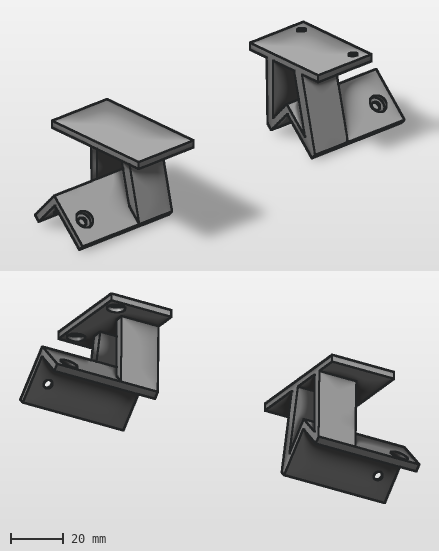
import cadquery as cq
import math

OVERALL_LENGTH = 158.0
FOOT_LENGTH = 44.0
LEG_LENGTH = 16.1
FRONT_PLATE_LENGTH = 27.0
REAR_PLATE_LENGTH = 26.2

FRONT_PLATE_WIDTH = 52.1
REAR_PLATE_WIDTH = 41.1
PLATE_THICKNESS = 3.0
PLATE_LEFT_BOTTOM = 31.3
PLATE_RIGHT_TOP = 38.5
PLATE_SLOPE = (PLATE_RIGHT_TOP - PLATE_LEFT_BOTTOM - PLATE_THICKNESS) / FRONT_PLATE_WIDTH
PLATE_TILT = math.atan(PLATE_SLOPE)

WALL = 3.0
APEX_X = 22.1
LEFT_ARM_LENGTH = 17.7
RIGHT_ARM_LENGTH = 22.6
LEFT_ARM_TILT = math.radians(49)
RIGHT_ARM_TILT = math.pi / 2 - LEFT_ARM_TILT
LEFT_DIR = (-math.cos(LEFT_ARM_TILT), -math.sin(LEFT_ARM_TILT))
RIGHT_DIR = (math.cos(RIGHT_ARM_TILT), -math.sin(RIGHT_ARM_TILT))
APEX_Z = -RIGHT_ARM_LENGTH * RIGHT_DIR[1] - WALL * LEFT_DIR[1]

LEFT_LEG_OUTER_TOP_X = 10.0
LEFT_LEG_INNER_X = 13.9
RIGHT_LEG_INNER_TOP_X = 26.5
RIGHT_LEG_OUTER_TOP_X = 31.3
RIGHT_LEG_INNER_REACH = 14.5

HOLE_DIAMETER = 3.5
COUNTERBORE_DIAMETER = 7.0
COUNTERBORE_DEPTH = 2.0
FOOT_HOLE_REACH = 13.0
FOOT_HOLE_INSET = 7.0
PLATE_HOLE_SIDE_INSET = 5.0
PLATE_HOLE_END_INSET = 5.0


def foot_point(along_left, along_right):
    """Point at the given distances from the apex along the two arm directions."""
    return (
        APEX_X + along_left * LEFT_DIR[0] + along_right * RIGHT_DIR[0],
        APEX_Z + along_left * LEFT_DIR[1] + along_right * RIGHT_DIR[1],
    )


def plate_bottom(x):
    """Point on the underside of the plate."""
    return (x, PLATE_LEFT_BOTTOM + PLATE_SLOPE * x)


def plate_top(x):
    """Point on the upper side of the plate."""
    return (x, plate_bottom(x)[1] + PLATE_THICKNESS)


def prism(points, length):
    """Extrude an XZ outline from Y = 0 toward -Y."""
    return cq.Workplane("XZ").polyline(points).close().extrude(length)


def make_foot():
    return prism(
        [
            foot_point(0, 0),
            foot_point(0, RIGHT_ARM_LENGTH),
            foot_point(WALL, RIGHT_ARM_LENGTH),
            foot_point(WALL, WALL),
            foot_point(LEFT_ARM_LENGTH, WALL),
            foot_point(LEFT_ARM_LENGTH, 0),
        ],
        FOOT_LENGTH,
    )


def make_plate(width, length):
    return prism([plate_bottom(0), plate_bottom(width), plate_top(width), plate_top(0)], length)


def make_left_leg():
    inner_reach = (APEX_X - LEFT_LEG_INNER_X) / math.cos(LEFT_ARM_TILT)
    return prism(
        [
            plate_bottom(LEFT_LEG_OUTER_TOP_X),
            plate_bottom(LEFT_LEG_INNER_X),
            foot_point(inner_reach, 0),
            foot_point(LEFT_ARM_LENGTH, 0),
        ],
        LEG_LENGTH,
    )


def make_right_leg():
    return prism(
        [
            plate_bottom(RIGHT_LEG_INNER_TOP_X),
            plate_bottom(RIGHT_LEG_OUTER_TOP_X),
            foot_point(0, RIGHT_ARM_LENGTH),
            foot_point(0, RIGHT_LEG_INNER_REACH),
        ],
        LEG_LENGTH,
    )


def cylinder_into(point, y, direction, diameter, depth):
    """Cylinder that starts at an XZ point and runs along an XZ direction."""
    start = cq.Vector(point[0], y, point[1])
    axis = cq.Vector(direction[0], 0, direction[1])
    return cq.Solid.makeCylinder(diameter / 2, depth, start, axis)


def cut_foot_holes(bracket):
    """Counterbored holes square to each arm; each arm is drilled along the other's direction."""
    y = FOOT_HOLE_INSET - FOOT_LENGTH
    drillings = [
        (foot_point(FOOT_HOLE_REACH, 0), RIGHT_DIR),
        (foot_point(0, FOOT_HOLE_REACH), LEFT_DIR),
    ]
    for point, direction in drillings:
        bracket = bracket.cut(cylinder_into(point, y, direction, HOLE_DIAMETER, WALL))
        bracket = bracket.cut(
            cylinder_into(point, y, direction, COUNTERBORE_DIAMETER, COUNTERBORE_DEPTH)
        )
    return bracket


def make_bracket(plate_width, plate_length):
    """Bracket with its inner end at Y = 0 and its foot reaching toward -Y."""
    bracket = make_foot().union(make_left_leg()).union(make_right_leg())
    bracket = bracket.union(make_plate(plate_width, plate_length))
    return cut_foot_holes(bracket)


def make_front_bracket():
    bracket = make_bracket(FRONT_PLATE_WIDTH, FRONT_PLATE_LENGTH)
    return bracket.translate((0, FOOT_LENGTH - OVERALL_LENGTH / 2, 0))


def cut_plate_holes(bracket):
    """Screw holes near the outer end of the narrow plate, counterbored from its underside."""
    y = PLATE_HOLE_END_INSET - REAR_PLATE_LENGTH
    up = (-math.sin(PLATE_TILT), math.cos(PLATE_TILT))
    square_thickness = PLATE_THICKNESS * math.cos(PLATE_TILT)
    for top_x in (PLATE_HOLE_SIDE_INSET, REAR_PLATE_WIDTH - PLATE_HOLE_SIDE_INSET):
        bottom = plate_bottom(top_x - square_thickness * up[0])
        bracket = bracket.cut(cylinder_into(bottom, y, up, HOLE_DIAMETER, square_thickness))
        bracket = bracket.cut(cylinder_into(bottom, y, up, COUNTERBORE_DIAMETER, COUNTERBORE_DEPTH))
    return bracket


def make_rear_bracket():
    """Bracket facing the front one, with a narrower plate that has two screw holes."""
    bracket = cut_plate_holes(make_bracket(REAR_PLATE_WIDTH, REAR_PLATE_LENGTH))
    return bracket.mirror("XZ").translate((0, OVERALL_LENGTH / 2 - FOOT_LENGTH, 0))


front_bracket = make_front_bracket()
rear_bracket = make_rear_bracket()

result = cq.Compound.makeCompound([front_bracket.val(), rear_bracket.val()])